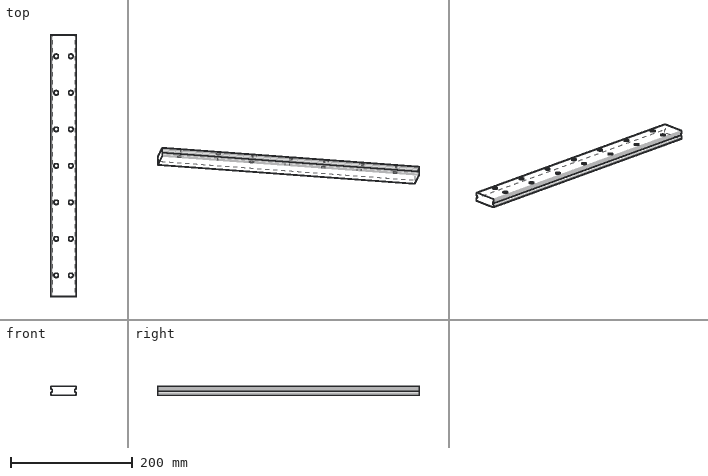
import cadquery as cq

rail_width = 42.0
rail_length = 430.0
rail_height = 15.0

top_chamfer = 1.5
bottom_chamfer = 1.3
groove_depth = 2.3
upper_lip_bottom = 11.2
groove_top = 9.0
groove_bottom = 6.4
lower_lip_top = 4.0

top_chamfer_radius = 1.0
bottom_chamfer_radius = 0.2
upper_lip_radius = 0.6
lower_lip_radius = 1.0
groove_top_radius = 0.6

hole_diameter = 7.5
hole_depth = 0.3
hole_pitch = 60.0
hole_count = 7
row_count = 2
row_spacing = 24.0

side = rail_width / 2
groove_floor = side - groove_depth


def sharp_body():
    """Constant cross-section with sharp corners, mirrored about the YZ plane."""
    half_outline = [
        (0, 0),
        (side - bottom_chamfer, 0),
        (side, bottom_chamfer),
        (side, lower_lip_top),
        (groove_floor, groove_bottom),
        (groove_floor, groove_top),
        (side, upper_lip_bottom),
        (side, rail_height - top_chamfer),
        (side - top_chamfer, rail_height),
        (0, rail_height),
    ]
    half = cq.Workplane("XZ").polyline(half_outline).close().extrude(rail_length / 2, both=True)
    return half.union(half.mirror("YZ")).clean()


def round_corner(body, x, z, radius):
    """Fillet the two lengthwise edges that pass through (x, z) and its mirror image (-x, z)."""
    left_edge = cq.selectors.NearestToPointSelector((-x, 0, z))
    right_edge = cq.selectors.NearestToPointSelector((x, 0, z))
    return body.edges("|Y").edges(left_edge + right_edge).fillet(radius)


def rail_body():
    """Rail with the corners of its chamfers and grooves rounded."""
    body = sharp_body()
    corners = [
        (side - top_chamfer, rail_height, top_chamfer_radius),
        (side, rail_height - top_chamfer, top_chamfer_radius),
        (side, upper_lip_bottom, upper_lip_radius),
        (groove_floor, groove_top, groove_top_radius),
        (side, lower_lip_top, lower_lip_radius),
        (side, bottom_chamfer, bottom_chamfer_radius),
        (side - bottom_chamfer, 0, bottom_chamfer_radius),
    ]
    for x, z, radius in corners:
        body = round_corner(body, x, z, radius)
    return body


def hole_recesses():
    """Rows of shallow round recesses in the top face, one over each plugged mounting hole."""
    return (
        cq.Workplane("XY", origin=(0, 0, rail_height - hole_depth))
        .rarray(row_spacing, hole_pitch, row_count, hole_count)
        .circle(hole_diameter / 2)
        .extrude(hole_depth)
    )


result = rail_body().cut(hole_recesses())